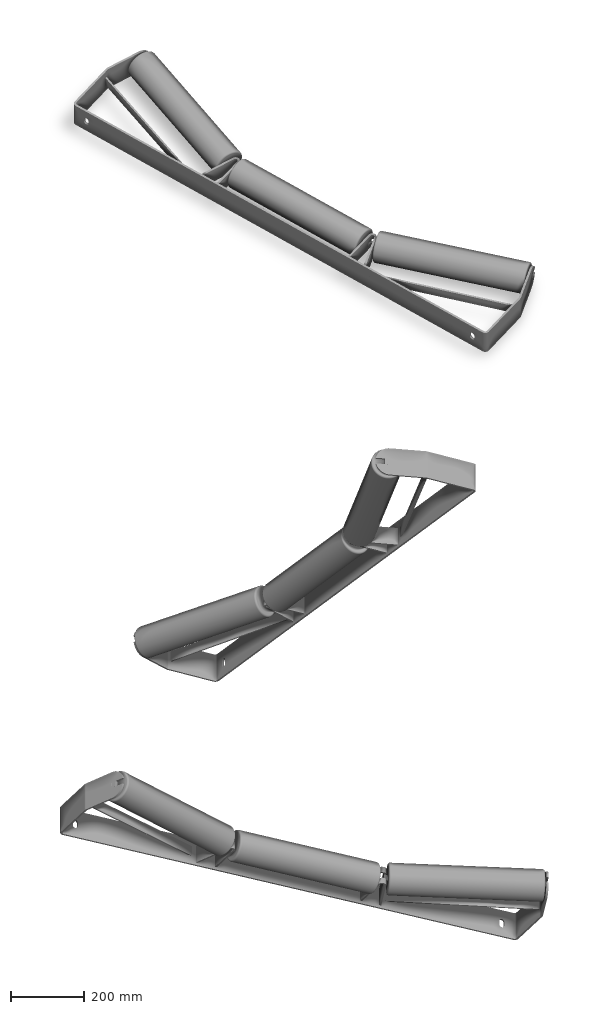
import cadquery as cq
import math

TROUGH_ANGLE = 20
ROLLER_TILT = 0.8

PLATE_THICKNESS = 6.0
BEND_INNER_RADIUS = PLATE_THICKNESS
BEND_MID_RADIUS = BEND_INNER_RADIUS + PLATE_THICKNESS / 2

FRAME_LENGTH = 1400
FRAME_HEIGHT = 80.0
WING_BEND_Y = 160.0
WING_LENGTH = 141.0
WING_SHAFT_DISTANCE = 106.0
MOUNT_HOLE_X = 652.0
MOUNT_HOLE_WIDTH = 15.0
MOUNT_HOLE_HEIGHT = 25.0

ROLLER_DIAMETER = 90.0
ROLLER_LENGTH = 430.0
ROLLER_EDGE_RADIUS = 4.9
SHAFT_SIDE = 17.0
END_GAP = 4.0
SHAFT_LENGTH = ROLLER_LENGTH + 2 * (END_GAP + PLATE_THICKNESS)
MIDDLE_ROLLER_Y = 98.0
MIDDLE_ROLLER_DROP = 7.0

SLOT_OVERRUN = 11.0

BRACKET_HEIGHT = 50.0

STRUT_THICKNESS = 5.0
STRUT_HEIGHT = 30.0
STRUT_END_Y = 148.0

ANGLE = math.radians(TROUGH_ANGLE)
WING_UP = cq.Vector(math.sin(ANGLE), math.cos(ANGLE), 0)
WING_INWARD = cq.Vector(math.cos(ANGLE), -math.sin(ANGLE), 0)

SHAFT_GRIP = (SHAFT_LENGTH - PLATE_THICKNESS) / 2
UPRIGHT_X = -(FRAME_LENGTH - PLATE_THICKNESS) / 2
WING_BEND = cq.Vector(UPRIGHT_X, WING_BEND_Y, 0)
WING_TIP = WING_BEND + WING_UP * WING_LENGTH

SIDE_ROLLER_DROP = MIDDLE_ROLLER_DROP - SHAFT_GRIP * math.sin(math.radians(ROLLER_TILT))
SIDE_ROLLER_CENTRE = WING_BEND + WING_UP * WING_SHAFT_DISTANCE + WING_INWARD * SHAFT_GRIP


def mirrored(shape):
    """Copy of a left-hand shape on the right-hand side."""
    return shape.mirror("YZ")


def bent_plate(points, height):
    """Plate standing along Z whose mid-plane follows the points, with a round bend at each corner."""
    path = cq.Wire.makePolygon(points).fillet(BEND_MID_RADIUS)
    start = cq.Plane(origin=points[0], xDir=(0, 0, 1), normal=path.tangentAt(0))
    section = cq.Workplane(start).rect(height, PLATE_THICKNESS)
    return section.sweep(cq.Workplane(path))


def at_middle(shape):
    """Move a shape built along X about the origin to the middle roller."""
    return shape.translate((0, MIDDLE_ROLLER_Y, -MIDDLE_ROLLER_DROP))


def at_left_side(shape):
    """Move a shape built along X about the origin to the left side roller."""
    tilted = shape.rotate((0, 0, 0), (0, 1, 0), ROLLER_TILT)
    turned = tilted.rotate((0, 0, 0), (0, 0, 1), -TROUGH_ANGLE)
    return turned.translate(SIDE_ROLLER_CENTRE - cq.Vector(0, 0, SIDE_ROLLER_DROP))


def roller():
    """Roller along X with rounded rims and a square shaft end on each side."""
    end_plane = cq.Workplane("YZ", origin=(-ROLLER_LENGTH / 2, 0, 0))
    tube = end_plane.circle(ROLLER_DIAMETER / 2).extrude(ROLLER_LENGTH)
    tube = tube.faces("<X or >X").edges().fillet(ROLLER_EDGE_RADIUS)
    shaft = cq.Workplane("XY").box(SHAFT_LENGTH, SHAFT_SIDE, SHAFT_SIDE)
    return tube.union(shaft)


def shaft_slots():
    """Space of a shaft and of its way out towards +Y, running past both shaft ends."""
    length = SHAFT_LENGTH + 2 * SLOT_OVERRUN
    slot = cq.Workplane("XY").box(length, ROLLER_DIAMETER, SHAFT_SIDE)
    return slot.translate((0, (ROLLER_DIAMETER - SHAFT_SIDE) / 2, 0))


def wing_tip_waste():
    """Corners to remove so that the left wing ends in a half circle."""
    radius = FRAME_HEIGHT / 2
    centre = WING_TIP - WING_UP * radius
    wing_plane = cq.Plane(origin=centre, xDir=WING_UP, normal=WING_INWARD)
    square = cq.Workplane(wing_plane).center(radius, 0).rect(2 * radius, 2 * FRAME_HEIGHT)
    disc = cq.Workplane(wing_plane).circle(radius)
    return square.extrude(PLATE_THICKNESS, both=True).cut(disc.extrude(PLATE_THICKNESS, both=True))


def frame():
    """Front bar, uprights and slotted round-ended wings bent from one plate."""
    corner = cq.Vector(UPRIGHT_X, PLATE_THICKNESS / 2, 0)
    left = [WING_TIP, WING_BEND, corner]
    right = [cq.Vector(-point.x, point.y, 0) for point in reversed(left)]
    body = bent_plate(left + right, FRAME_HEIGHT)

    for waste in (wing_tip_waste(), at_left_side(shaft_slots())):
        body = body.cut(waste).cut(mirrored(waste))

    mount_holes = (
        cq.Workplane("XZ")
        .pushPoints([(-MOUNT_HOLE_X, 0), (MOUNT_HOLE_X, 0)])
        .slot2D(MOUNT_HOLE_HEIGHT, MOUNT_HOLE_WIDTH, 90)
        .extrude(PLATE_THICKNESS, both=True)
    )
    return body.cut(mount_holes)


def left_inner_bracket():
    """Folded plate with one leg square to the side roller and one square to the middle roller."""
    side_grip = SIDE_ROLLER_CENTRE + WING_INWARD * SHAFT_GRIP
    foot = side_grip - WING_UP * (side_grip.y / WING_UP.y)
    fold = foot + WING_UP * ((-SHAFT_GRIP - foot.x) / WING_UP.x)
    body = bent_plate([foot, fold, cq.Vector(-SHAFT_GRIP, 0, 0)], BRACKET_HEIGHT)
    body = body.translate((0, 0, -MIDDLE_ROLLER_DROP))

    bar_space = cq.Workplane("XY").box(FRAME_LENGTH, 2 * PLATE_THICKNESS, 2 * FRAME_HEIGHT)
    body = body.cut(bar_space)
    return body.cut(at_left_side(shaft_slots())).cut(at_middle(shaft_slots()))


def left_strut():
    """Flat bar parallel to the side roller, trimmed to the upright and the front bar."""
    inner_x = UPRIGHT_X + PLATE_THICKNESS / 2
    flat_bar = (
        cq.Workplane("XY")
        .box(FRAME_LENGTH, STRUT_THICKNESS, STRUT_HEIGHT)
        .rotate((0, 0, 0), (0, 0, 1), -TROUGH_ANGLE)
        .translate((inner_x, STRUT_END_Y, 0))
    )
    inside = (
        cq.Workplane("XY")
        .box(FRAME_LENGTH / 2, FRAME_LENGTH, FRAME_HEIGHT, centered=(False, False, True))
        .translate((inner_x, PLATE_THICKNESS, 0))
    )
    return flat_bar.intersect(inside)


trough_frame = frame()
middle_roller = at_middle(roller())
side_roller = at_left_side(roller())
inner_bracket = left_inner_bracket()
strut = left_strut()

bodies = [trough_frame, middle_roller]
for left_body in (side_roller, inner_bracket, strut):
    bodies += [left_body, mirrored(left_body)]

result = cq.Compound.makeCompound([body.solids().val() for body in bodies])